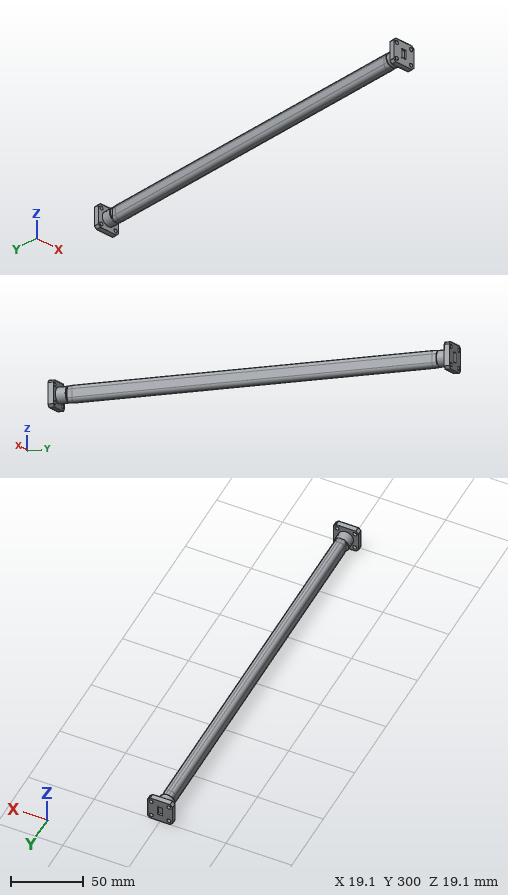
import cadquery as cq

LENGTH = 300.0

FLANGE_SIDE = 19.1
FLANGE_THICKNESS = 4.0
FLANGE_CORNER = 2.0
BOLT_SPACING_X = 13.46
BOLT_SPACING_Z = 12.7
BOLT_HOLE_DIAMETER = 2.9

COLLAR_DIAMETER = 11.7
COLLAR_LENGTH = 7.9
COLLAR_BEVEL_LENGTH = 0.6
COLLAR_BEVEL_DEPTH = 0.2
COLLAR_END = FLANGE_THICKNESS + COLLAR_LENGTH

PORT_WIDTH = 3.556
PORT_HEIGHT = 7.112
PORT_DEPTH = 1.5

SLEEVE_WIDTH = 8.1
SLEEVE_HEIGHT = 12.0
SLEEVE_CORNER = 3.0
TAPER_REDUCTION = 0.25
TAPER_LENGTH = 4.2
TAPER_START = COLLAR_END - COLLAR_BEVEL_LENGTH
TAPER_END = TAPER_START + TAPER_LENGTH


def section_plane(distance):
    """Cross-section plane facing -Y, the given distance behind the -Y flange face.

    Extruding by a negative length runs along +Y, toward the far flange.
    """
    return cq.Workplane("XZ", origin=(0, distance - LENGTH / 2, 0))


def flange():
    """Square plate with bevelled corners and four bolt holes."""
    plate = (
        section_plane(0)
        .rect(FLANGE_SIDE, FLANGE_SIDE)
        .extrude(-FLANGE_THICKNESS)
        .edges("|Y")
        .chamfer(FLANGE_CORNER)
    )
    bolt_holes = (
        section_plane(0)
        .rect(BOLT_SPACING_X, BOLT_SPACING_Z, forConstruction=True)
        .vertices()
        .circle(BOLT_HOLE_DIAMETER / 2)
        .extrude(-FLANGE_THICKNESS)
    )
    return plate.cut(bolt_holes)


def collar():
    """Round neck whose free end is lightly bevelled."""
    radius = COLLAR_DIAMETER / 2
    bevel_start = COLLAR_LENGTH - COLLAR_BEVEL_LENGTH
    half_profile = (
        cq.Workplane("XY", origin=(0, FLANGE_THICKNESS - LENGTH / 2, 0))
        .lineTo(radius, 0)
        .lineTo(radius, bevel_start)
        .lineTo(radius - COLLAR_BEVEL_DEPTH, COLLAR_LENGTH)
        .lineTo(0, COLLAR_LENGTH)
        .close()
    )
    return half_profile.revolve(360, (0, 0, 0), (0, 1, 0))


def port():
    """Shallow rectangular waveguide opening in the flange face."""
    return section_plane(0).rect(PORT_WIDTH, PORT_HEIGHT).extrude(-PORT_DEPTH)


def sleeve_section(inset):
    """Rounded rectangle of the sleeve, shrunk inward by the given inset."""
    width = SLEEVE_WIDTH - 2 * inset
    height = SLEEVE_HEIGHT - 2 * inset
    return cq.Sketch().rect(width, height).vertices().fillet(SLEEVE_CORNER - inset)


def sleeve():
    """Uniform middle length of the sleeve, between the two tapers."""
    length = LENGTH - 2 * TAPER_END
    return section_plane(TAPER_END).placeSketch(sleeve_section(0)).extrude(-length)


def sleeve_taper():
    """Short length widening from inside the collar to the full sleeve section."""
    start_section = sleeve_section(TAPER_REDUCTION)
    end_section = sleeve_section(0).moved(cq.Location(cq.Vector(0, 0, -TAPER_LENGTH)))
    return section_plane(TAPER_START).placeSketch(start_section, end_section).loft()


end_fitting = flange().union(collar()).union(sleeve_taper()).cut(port())
result = sleeve().union(end_fitting).union(end_fitting.mirror("XZ"))